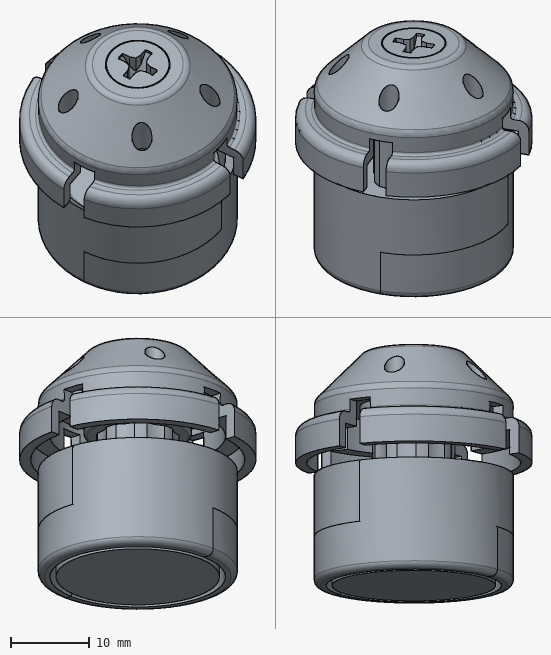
import cadquery as cq
import math

total_height = 30.18
shell_top = 14.28
shell_seam = 6.35
skirt_bottom = 15.9
cap_floor = 19.07
flange_top = 20.65
slot_top = 22.33
head_corner = 23.78
cap_ceiling = 23.25

flange_radius = 30.15 / 2
skirt_inner_radius = 13.65
wall_foot_radius = 12.62
head_radius = 25.4 / 2
cavity_radius = 22.35 / 2
boss_radius = 13.7 / 2
boss_fillet = 0.4
wall_foot_fillet = 0.4
edge_fillet = 1.27
slot_width = 3.08
slot_count = 4
vent_radius = 2.55 / 2
vent_circle_radius = 9.5
vent_count = 5
vent_start_angle = 90.0

screw_radius = 7.97 / 2
screw_length = 6.05
screw_clearance = 0.12
recess_radius = 2.65
recess_arm_count = 4
recess_arm_width = 1.03
recess_arm_root = 1.57
recess_corner = 0.78
recess_rim_depth = 0.33
recess_cone_depth = 3.75

stem_radius = 5.25
flute_count = 8
land_width = 1.6
flute_radius = 3.98
disc_radius = 10.4
disc_top = 11.08
disc_fillet = 0.4

shell_radius = head_radius
shell_inner_radius = 22.35 / 2
shell_bottom_fillet = 0.8


def cylinder(radius, bottom, top):
    """Upright cylinder on the Z axis between two heights."""
    return cq.Workplane("XY").workplane(offset=bottom).circle(radius).extrude(top - bottom)


def circle_edge(solid, radius, height):
    """Find the circular edge of the given radius whose centre lies at the given height."""
    for edge in solid.Edges():
        if edge.geomType() != "CIRCLE":
            continue
        if math.isclose(edge.radius(), radius) and math.isclose(edge.Center().z, height):
            return edge


def make_cap():
    """Conical cap with a slotted skirt, a central boss and a ring of vertical vents."""
    cone_tip_radius = head_radius - (total_height - head_corner)
    outline = [
        (0, cap_floor),
        (skirt_inner_radius, cap_floor),
        (skirt_inner_radius, skirt_bottom),
        (flange_radius, skirt_bottom),
        (flange_radius, flange_top),
        (wall_foot_radius, flange_top),
        (head_radius, head_corner),
        (cone_tip_radius, total_height),
        (0, total_height),
    ]
    body = cq.Workplane("XZ").polyline(outline).close().revolve(360, (0, 0, 0), (0, 1, 0)).val()
    rounded_rims = [
        circle_edge(body, flange_radius, flange_top),
        circle_edge(body, head_radius, head_corner),
        circle_edge(body, cone_tip_radius, total_height),
    ]
    wall_foot = circle_edge(body, wall_foot_radius, flange_top)
    body = body.fillet(wall_foot_fillet, [wall_foot]).fillet(edge_fillet, rounded_rims)
    cap = cq.Workplane(body)

    boss = cylinder(boss_radius, cap_floor, cap_ceiling).faces("<Z").edges().fillet(boss_fillet)
    cap = cap.cut(cylinder(cavity_radius, cap_floor, cap_ceiling).cut(boss))

    slot_start = (boss_radius + cavity_radius) / 2
    slot = (
        cq.Workplane("XY")
        .box(flange_radius, slot_width, slot_top - skirt_bottom, centered=(False, True, False))
        .translate((slot_start, 0, skirt_bottom))
    )
    for index in range(slot_count):
        cap = cap.cut(slot.rotate((0, 0, 0), (0, 0, 1), index * 360 / slot_count))

    vents = (
        cq.Workplane("XY")
        .workplane(offset=cap_ceiling)
        .polarArray(vent_circle_radius, vent_start_angle, 360, vent_count)
        .circle(vent_radius)
        .extrude(total_height - cap_ceiling)
    )
    cap = cap.cut(vents)

    seat_radius = screw_radius + screw_clearance
    return cap.cut(cylinder(seat_radius, total_height - screw_length, total_height))


def make_screw():
    """Plain round screw with a cross recess whose floor narrows to a point."""
    screw = cylinder(screw_radius, total_height - screw_length, total_height)
    recess_bottom = total_height - recess_rim_depth - recess_cone_depth
    half_arm = recess_arm_width / 2
    arm_outline = [
        (recess_corner, -recess_corner),
        (recess_arm_root, -half_arm),
        (recess_radius, -half_arm),
        (recess_radius, half_arm),
        (recess_arm_root, half_arm),
    ]
    cross_outline = []
    for _ in range(recess_arm_count):
        cross_outline.extend(arm_outline)
        arm_outline = [(-y, x) for x, y in arm_outline]
    cross = (
        cq.Workplane("XY")
        .workplane(offset=recess_bottom)
        .polyline(cross_outline)
        .close()
        .extrude(total_height - recess_bottom)
    )
    floor_and_rim = (
        cq.Workplane("XZ")
        .moveTo(0, recess_bottom)
        .lineTo(recess_radius, total_height - recess_rim_depth)
        .lineTo(recess_radius, total_height)
        .lineTo(0, total_height)
        .close()
        .revolve(360, (0, 0, 0), (0, 1, 0))
    )
    return screw.cut(cross.intersect(floor_and_rim))


def make_hub():
    """Fluted stem standing on a round base."""
    base = cylinder(disc_radius, 0, disc_top).faces(">Z").edges().fillet(disc_fillet)
    stem = cylinder(stem_radius, disc_top, cap_floor)
    flute_step = 360 / flute_count
    land_angle = 2 * math.degrees(math.asin(land_width / 2 / stem_radius))
    half_gap = math.radians((flute_step - land_angle) / 2)
    half_chord = stem_radius * math.sin(half_gap)
    flute_offset = stem_radius * math.cos(half_gap) + math.sqrt(flute_radius**2 - half_chord**2)
    flutes = (
        cq.Workplane("XY")
        .workplane(offset=disc_top)
        .polarArray(flute_offset, flute_step / 2, 360, flute_count)
        .circle(flute_radius)
        .extrude(cap_floor - disc_top)
    )
    return base.union(stem.cut(flutes))


def make_tube():
    """Open tube with a rounded foot and a 45 degree funnel across the full wall at its top."""
    funnel_bottom = shell_top - (shell_radius - shell_inner_radius)
    outline = [
        (shell_inner_radius, 0),
        (shell_radius, 0),
        (shell_radius, shell_top),
        (shell_inner_radius, funnel_bottom),
    ]
    tube = cq.Workplane("XZ").polyline(outline).close().revolve(360, (0, 0, 0), (0, 1, 0)).val()
    return cq.Workplane(tube.fillet(shell_bottom_fillet, [circle_edge(tube, shell_radius, 0)]))


def half_block(direction, bottom, top):
    """Block that covers the half of the tube lying toward an X or Y direction."""
    x, y = direction
    span = 2 * shell_radius
    block = cq.Workplane("XY").box(span, span, top - bottom, centered=(True, True, False))
    return block.translate((x * shell_radius, y * shell_radius, bottom))


def make_shell_half(side):
    """Half ring toward Y above the seam, joined to a half ring toward X below it."""
    upper = half_block((0, side), shell_seam, shell_top)
    lower = half_block((side, 0), 0, shell_seam)
    return make_tube().intersect(upper.union(lower))


cap = make_cap()
screw = make_screw()
hub = make_hub()
shell_halves = [make_shell_half(side) for side in (-1, 1)]

result = cq.Compound.makeCompound(
    [cap.val(), screw.val(), hub.val(), *[half.val() for half in shell_halves]]
)